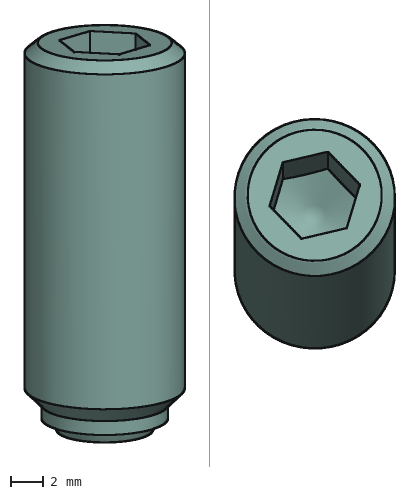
import cadquery as cq
import math

length = 25.0
screw_radius = 5.0

top_chamfer_height = 0.58
top_chamfer_radius = 4.32
end_face_radius = 4.18
end_bevel_height = 0.1

collar_radius = 3.95
collar_height = 0.9
ball_projection = 0.75
cone_height = screw_radius - collar_radius

ball_radius = 3.5
ball_flat_radius = 3.0

hex_across_flats = 5.0
hex_depth = 5.0
floor_cone_angle = 120.0

collar_bottom = ball_projection
collar_top = collar_bottom + collar_height
cone_top = collar_top + cone_height
bevel_and_chamfer_height = end_bevel_height + top_chamfer_height
ball_center_z = math.sqrt(ball_radius**2 - ball_flat_radius**2)
hex_corner_radius = hex_across_flats / math.sqrt(3)
hex_bottom = length - hex_depth
floor_cone_depth = hex_corner_radius / math.tan(math.radians(floor_cone_angle / 2))


def make_ball():
    """Sphere cut off flat at its lower end, at Z = 0."""
    ball_top = ball_center_z + ball_radius
    return (
        cq.Workplane("XZ")
        .lineTo(ball_flat_radius, 0)
        .threePointArc((ball_radius, ball_center_z), (0, ball_top))
        .close()
        .revolve(360, (0, 0), (0, 1))
    )


def make_screw_blank():
    """Turned outside of the screw, from the collar to the drive end."""
    return (
        cq.Workplane("XZ")
        .moveTo(0, collar_bottom)
        .lineTo(collar_radius, collar_bottom)
        .lineTo(collar_radius, collar_top)
        .lineTo(screw_radius, cone_top)
        .lineTo(screw_radius, length - bevel_and_chamfer_height)
        .lineTo(top_chamfer_radius, length - end_bevel_height)
        .lineTo(end_face_radius, length)
        .lineTo(0, length)
        .close()
        .revolve(360, (0, 0), (0, 1))
    )


def make_socket():
    """Hexagonal prism, with a drill-point cone trimmed to the hexagon below it."""
    prism_depth = hex_depth + floor_cone_depth
    prism = (
        cq.Workplane("XY", origin=(0, 0, length))
        .polygon(6, 2 * hex_corner_radius)
        .extrude(-prism_depth)
    )
    drilled_space = (
        cq.Workplane("XZ")
        .moveTo(0, hex_bottom - floor_cone_depth)
        .lineTo(hex_corner_radius, hex_bottom)
        .lineTo(hex_corner_radius, length)
        .lineTo(0, length)
        .close()
        .revolve(360, (0, 0), (0, 1))
    )
    return prism.intersect(drilled_space)


ball = make_ball()
screw = make_screw_blank().cut(make_socket()).cut(ball)

result = cq.Compound.makeCompound([screw.val(), ball.val()])